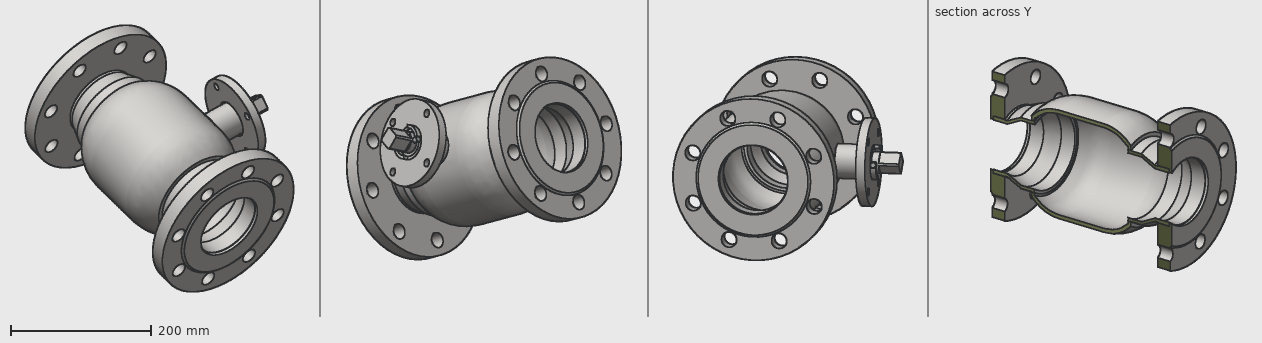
import cadquery as cq
import math


OVERALL_LENGTH = 332.0
OVERALL_DEPTH = 299.5
HALF_LENGTH = OVERALL_LENGTH / 2

FLANGE_DIAMETER = 234.7
FLANGE_THICKNESS = 23.2
RAISED_FACE_HEIGHT = 2.5
RAISED_FACE_ROOT_DIAMETER = 166.5
RAISED_FACE_TOP_DIAMETER = 160.0
FLANGE_BORE = 101.0
FLANGE_LIP = 5.3
BOLT_CIRCLE_DIAMETER = 190.5
BOLT_HOLE_DIAMETER = 22.0
BOLT_HOLE_COUNT = 8
BOLT_PATTERN_TWIST = 0.6

PIPE_WALL = 4.5
PIPE_DIAMETER = 109.0
SOCKET_DIAMETER = 127.8
CONE_OUTER_X = 135.5
CONE_INNER_X = 110.5

SHELL_DIAMETER = 180.3
SHELL_MOUTH_DIAMETER = 140.0
SHELL_END_X = 91.5
SHELL_CYLINDER_X = 41.5
SHELL_WALL = (SHELL_MOUTH_DIAMETER - SOCKET_DIAMETER) / 2

NECK_DIAMETER = 49.8
NECK_BORE = 40.2
NECK_TOP_Y = 150.0
PLATE_DIAMETER = 126.5
PLATE_TOP_Y = 142.0
PLATE_THICKNESS = 13.3
PLATE_RECESS_DIAMETER = 54.5
PLATE_RECESS_DEPTH = 3.3
PLATE_BOLT_CIRCLE_DIAMETER = 103.0
PLATE_HOLE_DIAMETER = 11.0
PLATE_HOLE_COUNT = 4

STEM_DIAMETER = 30.5
STEM_SQUARE = 24.0
STEM_SQUARE_BASE_Y = 152.7
PIN_DIAMETER = 8.0
PIN_LENGTH = 46.5

FLANGE_FRONT_X = HALF_LENGTH - RAISED_FACE_HEIGHT
FLANGE_BACK_X = FLANGE_FRONT_X - FLANGE_THICKNESS
PIPE_END_X = HALF_LENGTH - FLANGE_LIP
PIPE_INNER_END_X = SHELL_END_X - SHELL_WALL
NECK_BOTTOM_Y = SHELL_DIAMETER / 2
STEM_BOTTOM_Y = NECK_BOTTOM_Y - SHELL_WALL
PLATE_BOTTOM_Y = PLATE_TOP_Y - PLATE_THICKNESS
STEM_TOP_Y = OVERALL_DEPTH - FLANGE_DIAMETER / 2
PIN_Y = (PLATE_TOP_Y + NECK_TOP_Y) / 2


def cylinder_y(diameter, y_start, y_end):
    """Cylinder on the stem axis between two heights."""
    return cq.Workplane("XZ", origin=(0, y_start, 0)).circle(diameter / 2).extrude(y_start - y_end)


def cylinder_x(diameter, x_start, x_end):
    """Cylinder on the pipe axis between two stations."""
    return cq.Workplane("YZ", origin=(x_start, 0, 0)).circle(diameter / 2).extrude(x_end - x_start)


def revolve_x(profile):
    """Revolve a closed XY profile about the pipe axis."""
    return profile.close().revolve(360, (0, 0, 0), (1, 0, 0))


def make_flange():
    """Pipe flange at the +X end with a tapered raised face and a seat for the pipe."""
    body = revolve_x(
        cq.Workplane("XY")
        .moveTo(FLANGE_BACK_X, PIPE_DIAMETER / 2)
        .lineTo(FLANGE_BACK_X, FLANGE_DIAMETER / 2)
        .lineTo(FLANGE_FRONT_X, FLANGE_DIAMETER / 2)
        .lineTo(FLANGE_FRONT_X, RAISED_FACE_ROOT_DIAMETER / 2)
        .lineTo(HALF_LENGTH, RAISED_FACE_TOP_DIAMETER / 2)
        .lineTo(HALF_LENGTH, FLANGE_BORE / 2)
        .lineTo(PIPE_END_X, FLANGE_BORE / 2)
        .lineTo(PIPE_END_X, PIPE_DIAMETER / 2)
    )
    pitch = 360 / BOLT_HOLE_COUNT
    bolt_holes = (
        cq.Workplane("YZ", origin=(FLANGE_BACK_X, 0, 0))
        .polarArray(BOLT_CIRCLE_DIAMETER / 2, pitch / 2 + BOLT_PATTERN_TWIST, 360, BOLT_HOLE_COUNT)
        .circle(BOLT_HOLE_DIAMETER / 2)
        .extrude(FLANGE_THICKNESS)
    )
    return body.cut(bolt_holes)


def make_pipe_end():
    """Tapered pipe at the +X end, from inside the flange into the shell mouth."""
    pipe_radius = PIPE_DIAMETER / 2
    socket_radius = SOCKET_DIAMETER / 2
    return revolve_x(
        cq.Workplane("XY")
        .moveTo(PIPE_END_X, pipe_radius)
        .lineTo(CONE_OUTER_X, pipe_radius)
        .lineTo(CONE_INNER_X, socket_radius)
        .lineTo(PIPE_INNER_END_X, socket_radius)
        .lineTo(PIPE_INNER_END_X, socket_radius - PIPE_WALL)
        .lineTo(CONE_INNER_X, socket_radius - PIPE_WALL)
        .lineTo(CONE_OUTER_X, pipe_radius - PIPE_WALL)
        .lineTo(PIPE_END_X, pipe_radius - PIPE_WALL)
    )


def barrel(inset):
    """Solid domed barrel, inset from the outer surface of the shell."""
    dome_length = SHELL_END_X - SHELL_CYLINDER_X
    dome_drop = (SHELL_DIAMETER - SHELL_MOUTH_DIAMETER) / 2
    outer_dome_radius = (dome_length**2 + dome_drop**2) / (2 * dome_drop)
    centre_y = SHELL_DIAMETER / 2 - outer_dome_radius

    dome_radius = outer_dome_radius - inset
    end_x = SHELL_END_X - inset
    barrel_radius = SHELL_DIAMETER / 2 - inset
    end_angle = math.asin((end_x - SHELL_CYLINDER_X) / dome_radius)
    end_radius = centre_y + dome_radius * math.cos(end_angle)
    mid_x = SHELL_CYLINDER_X + dome_radius * math.sin(end_angle / 2)
    mid_radius = centre_y + dome_radius * math.cos(end_angle / 2)
    return revolve_x(
        cq.Workplane("XY")
        .moveTo(-end_x, 0)
        .lineTo(-end_x, end_radius)
        .threePointArc((-mid_x, mid_radius), (-SHELL_CYLINDER_X, barrel_radius))
        .lineTo(SHELL_CYLINDER_X, barrel_radius)
        .threePointArc((mid_x, mid_radius), (end_x, end_radius))
        .lineTo(end_x, 0)
    )


def make_shell():
    """Hollow barrel with a round mouth at each end and a hole for the stem."""
    mouths = cylinder_x(SOCKET_DIAMETER, -SHELL_END_X, SHELL_END_X)
    stem_hole = cylinder_y(NECK_BORE, 0, SHELL_DIAMETER / 2)
    return barrel(0).cut(barrel(SHELL_WALL)).cut(mouths).cut(stem_hole)


def make_neck():
    """Tube on the crown of the shell, its top notched to let the stop pin swing a quarter turn."""
    bore = cylinder_y(NECK_BORE, NECK_BOTTOM_Y, NECK_TOP_Y)
    neck = cylinder_y(NECK_DIAMETER, NECK_BOTTOM_Y, NECK_TOP_Y).cut(bore)
    notch = cq.Workplane("XY").box(
        NECK_DIAMETER, NECK_TOP_Y - PLATE_TOP_Y, NECK_DIAMETER, centered=(False, False, False)
    )
    stop_offset = PIN_DIAMETER / 2
    notch = notch.translate((-stop_offset, PLATE_TOP_Y, -stop_offset))
    opposite_notch = notch.rotate((0, 0, 0), (0, 1, 0), 180)
    return neck.cut(notch).cut(opposite_notch)


def make_plate():
    """Actuator flange round the neck, with a shallow recess round the neck underneath."""
    plate = cylinder_y(PLATE_DIAMETER, PLATE_BOTTOM_Y, PLATE_TOP_Y)
    bolt_holes = (
        cq.Workplane("XZ", origin=(0, PLATE_BOTTOM_Y, 0))
        .polarArray(PLATE_BOLT_CIRCLE_DIAMETER / 2, 180 / PLATE_HOLE_COUNT, 360, PLATE_HOLE_COUNT)
        .circle(PLATE_HOLE_DIAMETER / 2)
        .extrude(-PLATE_THICKNESS)
    )
    neck_hole = cylinder_y(NECK_DIAMETER, PLATE_BOTTOM_Y, PLATE_TOP_Y)
    recess = cylinder_y(PLATE_RECESS_DIAMETER, PLATE_BOTTOM_Y, PLATE_BOTTOM_Y + PLATE_RECESS_DEPTH)
    return plate.cut(bolt_holes).cut(neck_hole).cut(recess)


def make_pin():
    """Stop pin across the stem, along X."""
    return cylinder_x(PIN_DIAMETER, -PIN_LENGTH / 2, PIN_LENGTH / 2).translate((0, PIN_Y, 0))


def make_stem():
    """Stem with a shoulder filling the neck bore, and a square top whose corners face X and Z."""
    shoulder = cylinder_y(NECK_BORE, STEM_BOTTOM_Y, PLATE_TOP_Y)
    shaft = cylinder_y(STEM_DIAMETER, PLATE_TOP_Y, STEM_SQUARE_BASE_Y)
    square = (
        cq.Workplane("XZ", origin=(0, STEM_SQUARE_BASE_Y, 0))
        .transformed(rotate=(0, 0, 45))
        .rect(STEM_SQUARE, STEM_SQUARE)
        .extrude(STEM_SQUARE_BASE_Y - STEM_TOP_Y)
        .intersect(cylinder_y(STEM_DIAMETER, STEM_SQUARE_BASE_Y, STEM_TOP_Y))
    )
    return shoulder.union(shaft).union(square).cut(make_pin())


shell = make_shell()
neck = make_neck()
plate = make_plate()
stem = make_stem()
pin = make_pin()

flanges = []
pipe_ends = []
for mirrored in (False, True):
    flange = make_flange()
    pipe_end = make_pipe_end()
    if mirrored:
        flange = flange.mirror("YZ")
        pipe_end = pipe_end.mirror("YZ")
    flanges.append(flange.val())
    pipe_ends.append(pipe_end.val())

result = cq.Compound.makeCompound(
    [shell.val(), *flanges, *pipe_ends, neck.val(), plate.val(), stem.val(), pin.val()]
)